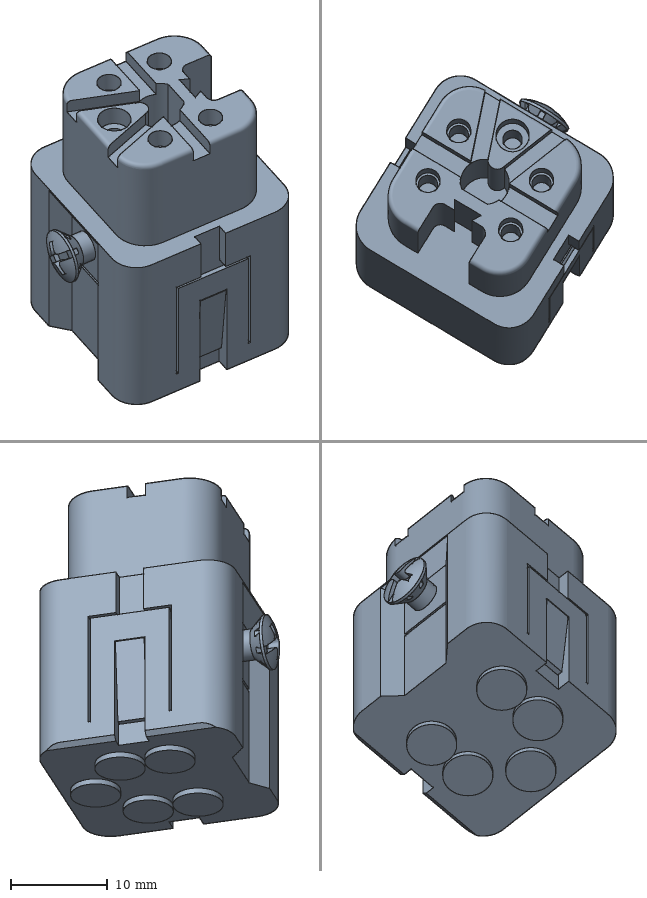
import cadquery as cq
import math

base_side = 21.0
half_base = base_side / 2
base_corner = 3.0
base_bottom = 0.6
base_top = 20.03
base_height = base_top - base_bottom
bottom_chamfer = 0.5
plug_side = 16.45
half_plug = plug_side / 2
plug_corner = 3.5
plug_edge_round = 0.5
part_top = 31.3
plug_height = part_top - base_top

boss_radius = 2.6
boss_places = [(-5.05, 2.7), (5.05, 2.7), (-5.05, -2.7), (5.05, -2.7), (0, 6.85)]

contact_x = 5.0
contact_y = 3.07
contact_mouth_radius = 1.25
earth_y = -5.55
earth_mouth_radius = 1.72
contact_bore_radius = 1.0
mouth_depth = 2.2
bore_depth = 6.25

groove_width = 2.0
groove_depth = 1.53
ray_width = 1.72
ray_angle = 20.0
ray_origin_y = 2.85
hub_radius = 2.55
hub_flat_y = 2.0
earth_tip_y = -2.5
earth_tip_radius = 0.97
key_half_width = 3.1
key_bottom_y = 4.32
key_corner = 0.9
dovetail_bottom_y = 3.35
dovetail_neck = 1.05
dovetail_foot = 1.6

recess_half_mouth = 4.82
recess_half_floor = 2.97
recess_depth = 1.65
recess_mouth_top = 19.8
recess_floor_top = 18.05
slit_top = 11.52
slit_height = 0.35
slit_half_floor = 2.2

screw_z = 15.05
shank_radius = 1.63
cone_start_radius = 1.8
cone_length = 1.2
head_radius = 2.88
rim_length = 0.3
head_length = 2.3
drive_width = 0.8
drive_slot_floor = 1.5
drive_cross_floor = 1.0
drive_cross_reach = 1.8
drive_corner = 0.55
notch_count = 8
notch_width = 0.63
notch_start = 0.47

latch_depth = 1.25
entry_width = 3.0
latch_half_width = 4.5
latch_top = 15.3
latch_bottom = 3.05
latch_gap = 0.25
tongue_tip = 0.53
tongue_root = 1.1
tongue_slope_bottom = 12.52
window_width = 3.3
window_top = 12.02
window_depth = 1.5
ramp_gap = 0.1
ramp_depth = 0.9


def box(x_range, y_range, z_range):
    """Block between two limits on each axis."""
    size = [high - low for low, high in (x_range, y_range, z_range)]
    corner = (x_range[0], y_range[0], z_range[0])
    return cq.Workplane("XY").box(*size, centered=False).translate(corner)


def disc(x, y, radius, top, depth):
    """Upright cylinder hanging down from its top face."""
    return cq.Workplane("XY", origin=(x, y, top - depth)).circle(radius).extrude(depth)


def make_base():
    body = cq.Workplane("XY", origin=(0, 0, base_bottom)).rect(base_side, base_side).extrude(base_height)
    body = body.edges("|Z").fillet(base_corner)
    chamfer = (
        cq.Workplane("XZ", origin=(0, half_base, 0))
        .moveTo(-half_base, base_bottom)
        .lineTo(-half_base + bottom_chamfer, base_bottom)
        .lineTo(-half_base, base_bottom + bottom_chamfer)
        .close()
        .extrude(base_side)
    )
    body = body.cut(chamfer)
    bosses = cq.Workplane("XY").pushPoints(boss_places).circle(boss_radius).extrude(base_bottom)
    return body.union(bosses)


def key_pocket():
    """Keyway open to the +Y side of the plug, with a dovetail at its inner end."""
    mouth = box((-key_half_width, key_half_width), (key_bottom_y, half_plug), (base_top, part_top))
    mouth = mouth.edges("|Z and <Y").fillet(key_corner)
    dovetail = (
        cq.Workplane("XY", origin=(0, 0, base_top))
        .moveTo(-dovetail_neck, key_bottom_y)
        .lineTo(-dovetail_foot, dovetail_bottom_y)
        .lineTo(dovetail_foot, dovetail_bottom_y)
        .lineTo(dovetail_neck, key_bottom_y)
        .close()
        .extrude(plug_height)
    )
    return mouth.union(dovetail)


def hub_pocket():
    """Round centre pocket, flat on its +Y side and dented by the tip of the earth pad."""
    pocket = disc(0, 0, hub_radius, part_top, plug_height)
    pocket = pocket.cut(
        box((-hub_radius, hub_radius), (hub_flat_y, hub_radius), (base_top, part_top))
    )
    return pocket.cut(disc(0, earth_tip_y, earth_tip_radius, part_top, plug_height))


def face_grooves():
    """Straight groove along X and two slanted grooves either side of the earth pad."""
    floor = part_top - groove_depth
    half_groove = groove_width / 2
    grooves = box((-half_plug, half_plug), (-half_groove, half_groove), (floor, part_top))
    front_half = box((-half_plug, half_plug), (-half_plug, 0), (floor, part_top))
    for side in (-1, 1):
        ray = box((-ray_width / 2, ray_width / 2), (-plug_side, 0), (floor, part_top))
        ray = ray.rotate((0, 0, 0), (0, 0, 1), side * ray_angle).translate((0, ray_origin_y, 0))
        grooves = grooves.union(ray.intersect(front_half))
    return grooves.cut(disc(0, earth_tip_y, earth_tip_radius, part_top, groove_depth))


def contact_hole(x, y, mouth_radius):
    mouth = disc(x, y, mouth_radius, part_top, mouth_depth)
    return mouth.union(disc(x, y, contact_bore_radius, part_top, bore_depth))


def make_plug():
    plug = cq.Workplane("XY", origin=(0, 0, base_top)).rect(plug_side, plug_side).extrude(plug_height)
    plug = plug.edges("|Z").fillet(plug_corner)
    plug = plug.faces(">Z").edges().fillet(plug_edge_round)
    plug = plug.cut(key_pocket()).cut(hub_pocket()).cut(face_grooves())
    for x in (-contact_x, contact_x):
        for y in (-contact_y, contact_y):
            plug = plug.cut(contact_hole(x, y, contact_mouth_radius))
    return plug.cut(contact_hole(0, earth_y, earth_mouth_radius))


def flared_channel(half_outer, half_inner, outer_y, inner_y, bottom, top):
    """Channel in the -Y wall that narrows from the outside inward."""
    return (
        cq.Workplane("XY", origin=(0, 0, bottom))
        .moveTo(-half_outer, outer_y)
        .lineTo(-half_inner, inner_y)
        .lineTo(half_inner, inner_y)
        .lineTo(half_outer, outer_y)
        .close()
        .extrude(top - bottom)
    )


def screw_recess():
    floor_y = -half_base + recess_depth
    channel = flared_channel(
        recess_half_mouth, recess_half_floor, -half_base, floor_y, base_bottom, recess_mouth_top
    )
    roof = (
        cq.Workplane("YZ", origin=(-recess_half_mouth, 0, 0))
        .moveTo(-half_base, recess_mouth_top)
        .lineTo(floor_y, recess_floor_top)
        .lineTo(floor_y, recess_mouth_top)
        .close()
        .extrude(2 * recess_half_mouth)
    )
    slit_depth = recess_half_floor - slit_half_floor
    slit = flared_channel(
        recess_half_floor, slit_half_floor, floor_y, floor_y + slit_depth, slit_top - slit_height, slit_top
    )
    return channel.cut(roof).union(slit)


def make_screw():
    """Raised countersunk screw, built along +Z and then turned to point along -Y."""
    rim_top = cone_length + rim_length
    dome_height = head_length - rim_top
    dome_radius = (head_radius**2 + dome_height**2) / (2 * dome_height)
    half_chord = head_radius / 2
    dome_mid_z = head_length - dome_radius + math.sqrt(dome_radius**2 - half_chord**2)
    cone_slope = (head_radius - cone_start_radius) / cone_length
    shank_top = (shank_radius - cone_start_radius) / cone_slope
    screw = (
        cq.Workplane("XZ")
        .moveTo(0, -recess_depth)
        .lineTo(shank_radius, -recess_depth)
        .lineTo(shank_radius, shank_top)
        .lineTo(head_radius, cone_length)
        .lineTo(head_radius, rim_top)
        .threePointArc((half_chord, dome_mid_z), (0, head_length))
        .close()
        .revolve(360, (0, 0, 0), (0, 1, 0))
    )

    slot = box(
        (-head_radius, head_radius), (-drive_width / 2, drive_width / 2), (drive_slot_floor, head_length)
    )
    cross_depth = head_length - drive_cross_floor
    cross_plane = cq.Workplane("XY", origin=(0, 0, drive_cross_floor))
    cross = cross_plane.rect(2 * drive_cross_reach, drive_width).extrude(cross_depth)
    cross = cross.union(cross_plane.rect(drive_width, 2 * drive_cross_reach).extrude(cross_depth))
    near_axis = cq.selectors.BoxSelector(
        (-drive_width, -drive_width, drive_cross_floor), (drive_width, drive_width, head_length)
    )
    cross = cross.edges("|Z").edges(near_axis).fillet(drive_corner)
    drive = slot.union(cross).rotate((0, 0, 0), (0, 0, 1), 45)
    screw = screw.cut(drive)

    notch_radius = cone_start_radius + cone_slope * notch_start
    for index in range(notch_count):
        notch = box(
            (notch_radius, head_radius), (-notch_width / 2, notch_width / 2), (notch_start, cone_length)
        )
        screw = screw.cut(notch.rotate((0, 0, 0), (0, 0, 1), index * 360 / notch_count))

    return screw.rotate((0, 0, 0), (1, 0, 0), 90).translate((0, -half_base, screw_z))


def wall_profile(points, width):
    """Extrude (depth, height) points over a width centred on the -X wall."""
    outline = [(depth - half_base, height) for depth, height in points]
    return cq.Workplane("XZ").polyline(outline).close().extrude(width / 2, both=True)


def latch_cut():
    """Material removed from the -X wall around the snap latch."""
    wall = (-half_base, -half_base + latch_depth)
    entry = box(wall, (-entry_width / 2, entry_width / 2), (latch_top, base_top))

    tongue_top = latch_top - latch_gap
    cut = entry.union(box(wall, (-latch_half_width, latch_half_width), (tongue_top, latch_top)))
    inner_half = latch_half_width - latch_gap
    for leg in ((-latch_half_width, -inner_half), (inner_half, latch_half_width)):
        cut = cut.union(box(wall, leg, (latch_bottom, latch_top)))
    behind = [
        (tongue_tip, tongue_top),
        (tongue_root, tongue_slope_bottom),
        (latch_depth, tongue_slope_bottom),
        (latch_depth, tongue_top),
    ]
    cut = cut.union(wall_profile(behind, 2 * inner_half))

    window_wall = (-half_base, -half_base + window_depth)
    window = box(window_wall, (-window_width / 2, window_width / 2), (base_bottom, window_top))
    ramp_top = window_top - ramp_gap
    ramp = [(0, ramp_top), (ramp_depth, latch_bottom), (window_depth, latch_bottom), (window_depth, ramp_top)]
    window = window.cut(wall_profile(ramp, window_width - 2 * ramp_gap))
    return cut.union(window)


latch = latch_cut()
housing = make_base().union(make_plug())
housing = housing.cut(latch).cut(latch.mirror("YZ")).cut(screw_recess())
result = housing.union(make_screw())